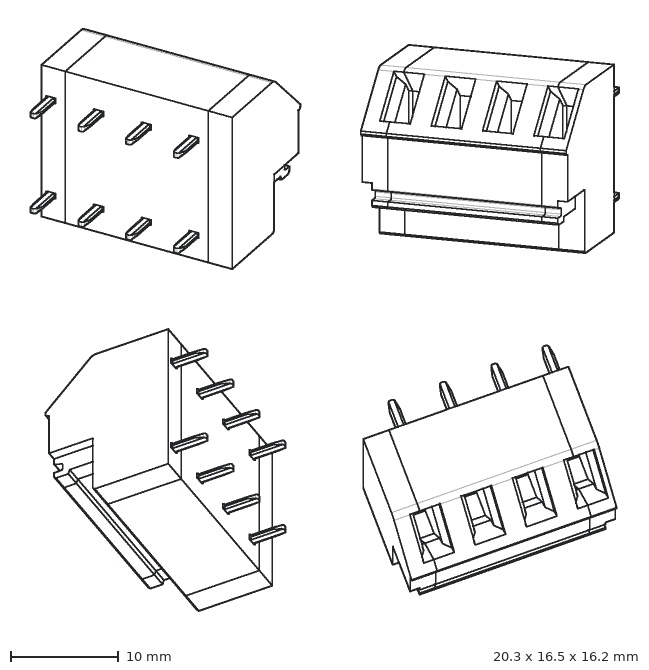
import cadquery as cq
import math

poles = 4
pitch = 5.08
width = poles * pitch
end_width = pitch / 2

height = 16.2
lip_y = 12.98
wall_y = 12.6
step_y = 7.97
step_z = 6.18
slope_angle = math.pi / 4
slope_top_y = 7.99
lip_height = 0.49
lip_chamfer = 0.2
slope_round = 1.0
foot_chamfer = 0.2
slope_bottom_z = height - (lip_y - slope_top_y)
lip_z = slope_bottom_z - lip_height

rail_inset = 0.95
rail_root_z = 4.25
rail_neck_y = 11.68
rail_notch_top_z = 5.49
rail_notch_rise = 0.22
rail_notch_bottom_z = 4.51
rail_toe_z = 3.8
rail_heel_y = 10.93
rail_heel_slant = 0.15
rail_toe_chamfer = 0.22
rail_notch_round = 0.18

funnel_offset = 2.01
funnel_width = 3.0
throat_width = 1.87
funnel_bottom_y = 12.1
mouth_depth = 0.98
taper_depth = 1.32
throat_depth = 1.15
well_depth = 3.15
well_angle = 65.0

pin_offset = 1.04
pin_low_z = 2.62
pin_row_gap = 2 * pitch
pin_rows_z = [pin_low_z, pin_low_z + pin_row_gap]
pin_length = 3.52
pin_width = 1.02
pin_thickness = 0.5
pin_flat = 0.55
pin_edge = 0.22
pin_taper = 1.02
pin_tip_width = 0.57
pin_tip_round = 0.25
pin_root_length = 0.12


def profile_prism(profile, x_start, x_end):
    """Extrude a YZ profile from x_start to x_end."""
    return profile.extrude(x_end - x_start).translate((x_start, 0, 0))


def edge_along_x(body, y, z):
    """Selector for the edge along X that passes through the point (y, z)."""
    return cq.selectors.NearestToPointSelector((body.val().Center().x, y, z))


def housing_blank(x_start, x_end):
    """Stretch of the housing: flat top, slope, lip, overhang and foot."""
    outline = (
        cq.Workplane("YZ")
        .moveTo(0, 0)
        .lineTo(step_y, 0)
        .lineTo(step_y, step_z)
        .lineTo(wall_y, step_z)
        .lineTo(wall_y, lip_z)
        .lineTo(lip_y, lip_z)
        .lineTo(lip_y, slope_bottom_z)
        .lineTo(slope_top_y, height)
        .lineTo(0, height)
        .close()
    )
    blank = profile_prism(outline, x_start, x_end)
    blank = blank.edges(edge_along_x(blank, slope_top_y, height)).fillet(slope_round)
    blank = blank.edges(edge_along_x(blank, lip_y, lip_z)).chamfer(lip_chamfer)
    return blank.edges(edge_along_x(blank, step_y, 0)).chamfer(foot_chamfer)


def latch_rail(x_start, x_end):
    """Stretch of the latch rail, notched on its +Y face."""
    outline = (
        cq.Workplane("YZ")
        .moveTo(step_y, step_z)
        .lineTo(wall_y, step_z)
        .lineTo(wall_y, rail_notch_top_z)
        .lineTo(rail_neck_y, rail_notch_top_z - rail_notch_rise)
        .lineTo(rail_neck_y, rail_notch_bottom_z)
        .lineTo(wall_y, rail_notch_bottom_z)
        .lineTo(wall_y, rail_toe_z)
        .lineTo(rail_heel_y + rail_heel_slant, rail_toe_z)
        .lineTo(rail_heel_y, rail_root_z)
        .lineTo(step_y, rail_root_z)
        .close()
    )
    rail = profile_prism(outline, x_start, x_end)
    notch_corners = [
        (wall_y, rail_notch_top_z),
        (rail_neck_y, rail_notch_top_z - rail_notch_rise),
        (rail_neck_y, rail_notch_bottom_z),
    ]
    for corner_y, corner_z in notch_corners:
        rail = rail.edges(edge_along_x(rail, corner_y, corner_z)).fillet(rail_notch_round)
    return rail.edges(edge_along_x(rail, wall_y, rail_toe_z)).chamfer(rail_toe_chamfer)


def wire_funnel(pole):
    """Cutter for one funnel: straight mouth, tapering sides, straight throat, steeper well."""
    half_mouth = funnel_width / 2
    half_throat = throat_width / 2
    taper_end = mouth_depth + taper_depth
    bottom = taper_end + throat_depth
    slope_tangent_y = slope_top_y + slope_round * math.tan(slope_angle / 2) * math.cos(slope_angle)
    opening_length = (funnel_bottom_y - slope_tangent_y) * math.sqrt(2)
    clearance = 0.2
    centre_x = pole * pitch + funnel_offset
    low_edge_z = height - (funnel_bottom_y - slope_top_y)
    low_edge = cq.Vector(centre_x, funnel_bottom_y, low_edge_z)
    plane = cq.Plane(origin=low_edge, xDir=(1, 0, 0), normal=(0, -1, 1))
    funnel = (
        cq.Workplane(plane)
        .moveTo(-half_mouth, clearance)
        .lineTo(half_mouth, clearance)
        .lineTo(half_mouth, -mouth_depth)
        .lineTo(half_throat, -taper_end)
        .lineTo(half_throat, -bottom)
        .lineTo(-half_throat, -bottom)
        .lineTo(-half_throat, -taper_end)
        .lineTo(-half_mouth, -mouth_depth)
        .close()
        .extrude(opening_length)
    )
    bend_drop = bottom / math.sqrt(2)
    bend_y = funnel_bottom_y - bend_drop
    bend_z = low_edge_z - bend_drop
    well_run = well_depth / math.tan(math.radians(well_angle))
    rise = opening_length / math.sqrt(2)
    well = (
        cq.Workplane("YZ")
        .moveTo(bend_y, bend_z)
        .lineTo(bend_y - well_run, bend_z - well_depth)
        .lineTo(bend_y - rise, bend_z - well_depth)
        .lineTo(bend_y - rise, bend_z + rise)
        .close()
        .extrude(half_throat, both=True)
        .translate((centre_x, 0, 0))
    )
    return funnel.union(well)


def solder_pin(x, z):
    """One pin: eight-sided bar whose sides taper toward the tip."""
    half_width = pin_width / 2
    half_tip = pin_tip_width / 2
    half_flat = pin_flat / 2
    half_thickness = pin_thickness / 2
    half_edge = pin_edge / 2
    bar = (
        cq.Workplane("XZ")
        .polyline([
            (-half_flat, -half_thickness),
            (half_flat, -half_thickness),
            (half_width, -half_edge),
            (half_width, half_edge),
            (half_flat, half_thickness),
            (-half_flat, half_thickness),
            (-half_width, half_edge),
            (-half_width, -half_edge),
        ])
        .close()
        .extrude(pin_length)
    )
    taper_start = pin_length - pin_taper
    envelope = (
        cq.Workplane("XY")
        .polyline([
            (-half_width, 0),
            (half_width, 0),
            (half_width, -taper_start),
            (half_tip, -pin_length),
            (-half_tip, -pin_length),
            (-half_width, -taper_start),
        ])
        .close()
        .extrude(half_thickness, both=True)
        .faces("<Y")
        .edges("|Z")
        .fillet(pin_tip_round)
    )
    root = cq.Workplane("XZ").rect(pin_width, pin_thickness).extrude(pin_root_length)
    return bar.intersect(envelope).union(root).translate((x, 0, z))


def section(x_start, x_end):
    """One body: a stretch of the housing with its share of rail, funnels and pins."""
    body = housing_blank(x_start, x_end)
    rail_start = max(x_start, rail_inset)
    rail_end = min(x_end, width - rail_inset)
    body = body.union(latch_rail(rail_start, rail_end))
    for pole in range(poles):
        body = body.cut(wire_funnel(pole))
        pin_x = pole * pitch + pin_offset
        if x_start < pin_x < x_end:
            for pin_z in pin_rows_z:
                body = body.union(solder_pin(pin_x, pin_z))
    return body


left_end = section(0, end_width)
middle = section(end_width, width - end_width)
right_end = section(width - end_width, width)

result = cq.Compound.makeCompound([left_end.val(), middle.val(), right_end.val()])